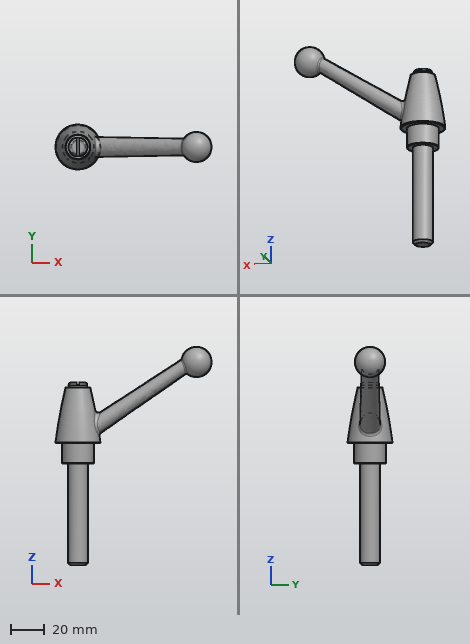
import cadquery as cq
import math


stud_diameter = 12.0
stud_length = 60.0
stud_chamfer = 1.6

collar_diameter = 19.0
collar_height = 12.0
collar_chamfer = 0.4

hub_bottom_diameter = 26.7
hub_top_diameter = 14.8
hub_height = 33.0
hub_bulge = 0.45
hub_bottom_chamfer = 0.6
hub_top_chamfer = 0.3

screw_neck_diameter = 11.0
screw_neck_height = 1.2
screw_head_diameter = 11.2
screw_head_height = 1.8
slot_width = 1.3
slot_depth = 1.5

ball_diameter = 18.0
overall_width = 92.28
overall_height = 129.0

arm_angle = 33.9
arm_offset_above_ball = 1.9
arm_base_width = 12.2
arm_base_thickness = 10.8
arm_tip_width = 9.9
arm_tip_thickness = 8.4

arm_base_to_ball = 78.0
arm_tip_to_ball = 2.0

hub_fillet = 2.0
ball_fillet = 1.2

hub_bottom_z = collar_height
hub_top_z = hub_bottom_z + hub_height
screw_head_z = hub_top_z + screw_neck_height
screw_top_z = screw_head_z + screw_head_height
ball_radius = ball_diameter / 2
ball_x = overall_width - hub_bottom_diameter / 2 - ball_radius
ball_z = overall_height - stud_length - ball_radius


def cylinder(diameter, height, bottom_z):
    return cq.Workplane("XY", origin=(0, 0, bottom_z)).circle(diameter / 2).extrude(height)


def make_stud():
    return cylinder(stud_diameter, stud_length, -stud_length).faces("<Z").chamfer(stud_chamfer)


def make_collar():
    return cylinder(collar_diameter, collar_height, 0).faces("<Z").chamfer(collar_chamfer)


def make_hub():
    """Revolved hub whose flank is a shallow arc, with broken edges at both ends."""
    bottom_radius = hub_bottom_diameter / 2
    top_radius = hub_top_diameter / 2
    flank_bottom_z = hub_bottom_z + hub_bottom_chamfer
    flank_top_z = hub_top_z - hub_top_chamfer
    flank_middle = (-(bottom_radius + top_radius) / 2 - hub_bulge, (flank_bottom_z + flank_top_z) / 2)
    return (
        cq.Workplane("XZ")
        .moveTo(0, hub_bottom_z)
        .lineTo(hub_bottom_chamfer - bottom_radius, hub_bottom_z)
        .lineTo(-bottom_radius, flank_bottom_z)
        .threePointArc(flank_middle, (-top_radius, flank_top_z))
        .lineTo(hub_top_chamfer - top_radius, hub_top_z)
        .lineTo(0, hub_top_z)
        .close()
        .revolve(360, (0, 0, 0), (0, 1, 0))
    )


def make_screw():
    """Screw neck and round-edged head with a driver slot running along Y."""
    neck = cylinder(screw_neck_diameter, screw_neck_height, hub_top_z)
    head_radius = screw_head_diameter / 2
    round_radius = screw_head_height
    round_middle = round_radius * math.sqrt(0.5)
    head = (
        cq.Workplane("XZ")
        .moveTo(0, screw_head_z)
        .lineTo(head_radius, screw_head_z)
        .threePointArc(
            (head_radius - round_radius + round_middle, screw_head_z + round_middle),
            (head_radius - round_radius, screw_top_z),
        )
        .lineTo(0, screw_top_z)
        .close()
        .revolve(360, (0, 0, 0), (0, 1, 0))
    )
    slot = (
        cq.Workplane("XY", origin=(0, 0, screw_top_z))
        .rect(slot_width, screw_head_diameter)
        .extrude(-slot_depth)
    )
    return neck.union(head).cut(slot)


def make_arm():
    """Oval cone leading from inside the hub up into the ball."""
    angle = math.radians(arm_angle)
    direction = (math.cos(angle), 0, math.sin(angle))
    near_ball_x = ball_x - arm_offset_above_ball * math.sin(angle)
    near_ball_z = ball_z + arm_offset_above_ball * math.cos(angle)
    base_plane = cq.Plane(
        origin=(
            near_ball_x - arm_base_to_ball * direction[0],
            0,
            near_ball_z - arm_base_to_ball * direction[2],
        ),
        xDir=(0, 1, 0),
        normal=direction,
    )
    return (
        cq.Workplane(base_plane)
        .ellipse(arm_base_width / 2, arm_base_thickness / 2)
        .workplane(offset=arm_base_to_ball - arm_tip_to_ball)
        .ellipse(arm_tip_width / 2, arm_tip_thickness / 2)
        .loft(combine=True)
    )


def make_ball():
    return cq.Workplane("XY").sphere(ball_radius).translate((ball_x, 0, ball_z))


def fillet_seam(body, min_x, max_x, radius):
    """Blend the free-form seam whose centre lies between two X positions."""
    seam = [
        edge
        for edge in body.edges("%BSPLINE").vals()
        if min_x < edge.Center().x < max_x
    ]
    return body.newObject(seam).fillet(radius)


def make_lever():
    """Hub, arm and ball in one piece, with both ends of the arm blended."""
    lever = make_hub().union(make_arm()).union(make_ball())
    lever = fillet_seam(lever, 0, hub_bottom_diameter / 2, hub_fillet)
    return fillet_seam(lever, ball_x - ball_radius, ball_x, ball_fillet)


result = make_stud().union(make_collar()).union(make_lever()).union(make_screw())